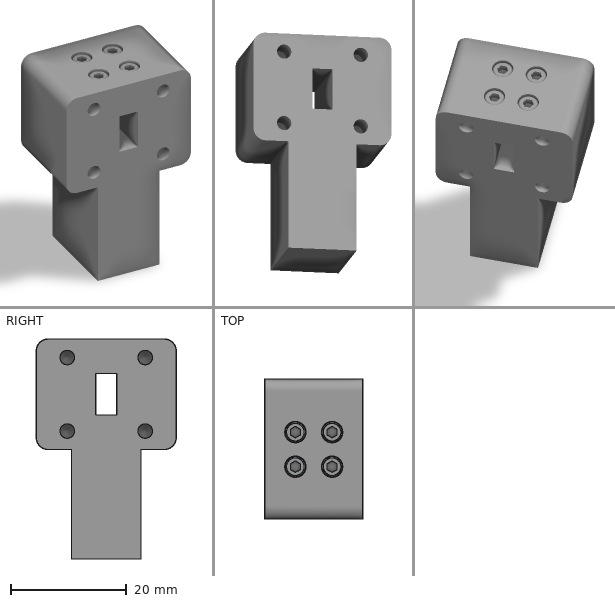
import cadquery as cq
import math

overall_height = 38.0
width = 17.0
head_depth = 24.2
head_height = 19.1
corner_radius = 2.1

stem_depth = 12.0

window_depth = 3.57
window_height = 7.15

flange_hole_diameter = 2.5
flange_hole_depth = 4.95
flange_pitch_y = 13.45
flange_pitch_z = 12.7
drill_point_angle = 118.0

screw_pitch_x = 6.35
screw_pitch_y = 5.95
screw_pattern_center_y = -0.08
recess_diameter = 3.7
recess_depth = 2.2
screw_head_sink = 0.3
screw_head_diameter = 3.5
screw_head_chamfer = 0.23
socket_across_flats = 1.7
socket_depth = 1.05

head_bottom = overall_height - head_height
head_center_z = overall_height - head_height / 2


def make_body():
    stem = cq.Workplane("XY").box(width, stem_depth, overall_height, centered=(True, True, False))
    head = (
        cq.Workplane("XY", origin=(0, 0, head_bottom))
        .box(width, head_depth, head_height, centered=(True, True, False))
        .edges("|X")
        .fillet(corner_radius)
    )
    window = cq.Workplane("XY", origin=(0, 0, head_center_z)).box(width, window_depth, window_height)
    return stem.union(head).cut(window)


def flange_hole(side, y, z):
    """Drilled hole entering the face at X = side * width / 2, as a revolved profile."""
    radius = flange_hole_diameter / 2
    point_length = radius / math.tan(math.radians(drill_point_angle / 2))
    face_x = side * width / 2
    full_bore_x = face_x - side * flange_hole_depth
    tip_x = full_bore_x - side * point_length
    return (
        cq.Workplane("XY", origin=(0, y, z))
        .polyline([(face_x, 0), (face_x, radius), (full_bore_x, radius), (tip_x, 0)])
        .close()
        .revolve(360, (0, 0), (1, 0))
    )


def screw_recess(x, y):
    """Material removed above, around and inside one screw head."""
    bottom = cq.Workplane("XY", origin=(x, y, overall_height - recess_depth))
    recess = bottom.circle(recess_diameter / 2).extrude(recess_depth)
    head = (
        bottom.circle(screw_head_diameter / 2)
        .extrude(recess_depth - screw_head_sink)
        .faces(">Z")
        .chamfer(screw_head_chamfer)
    )
    socket = (
        cq.Workplane("XY", origin=(x, y, overall_height - screw_head_sink))
        .transformed(rotate=(0, 0, 90))
        .polygon(6, socket_across_flats / math.cos(math.pi / 6))
        .extrude(-socket_depth)
    )
    return recess.cut(head).union(socket)


result = make_body()

for side in (-1, 1):
    for y in (-flange_pitch_y / 2, flange_pitch_y / 2):
        for z_offset in (-flange_pitch_z / 2, flange_pitch_z / 2):
            result = result.cut(flange_hole(side, y, head_center_z + z_offset))

for x in (-screw_pitch_x / 2, screw_pitch_x / 2):
    for y_offset in (-screw_pitch_y / 2, screw_pitch_y / 2):
        result = result.cut(screw_recess(x, screw_pattern_center_y + y_offset))